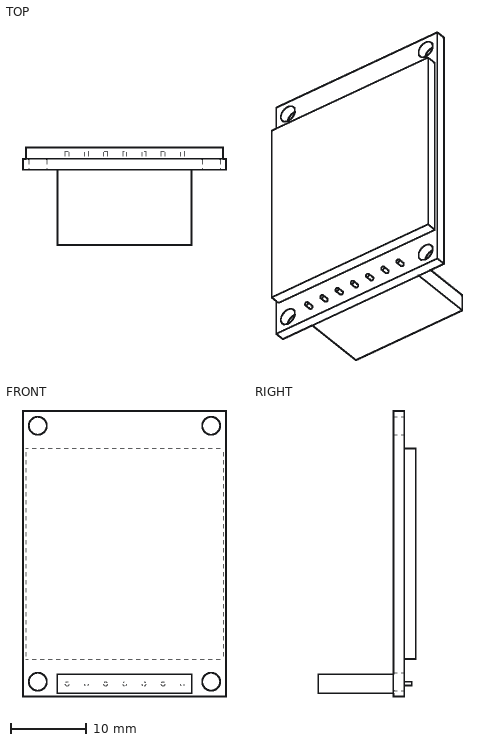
import cadquery as cq

board_width = 27.0
board_height = 38.0
board_thickness = 1.5

hole_diameter = 2.35
hole_inset = 1.98

screen_width = 26.22
screen_height = 28.0
screen_thickness = 1.52

header_width = 17.85
header_height = 2.55
header_depth = 10.0
header_center_height = 1.7
pin_count = 7
pin_diameter = 0.55
pin_length = 1.0
pin_pitch = header_width / pin_count

header_z = header_center_height - board_height / 2


def make_board():
    """Plate with its front face at Y = 0 and four through holes."""
    hole_span_x = board_width - 2 * hole_inset
    hole_span_z = board_height - 2 * hole_inset
    plate = cq.Workplane("XZ").rect(board_width, board_height).extrude(-board_thickness)
    holes = (
        cq.Workplane("XZ")
        .rect(hole_span_x, hole_span_z, forConstruction=True)
        .vertices()
        .circle(hole_diameter / 2)
        .extrude(-board_thickness)
    )
    return plate.cut(holes)


def make_screen():
    """Panel on the back face, between the upper and lower holes."""
    return (
        cq.Workplane("XZ", origin=(0, board_thickness, 0))
        .rect(screen_width, screen_height)
        .extrude(-screen_thickness)
    )


def make_header():
    """Block projecting forward from the board."""
    return cq.Workplane("XZ", origin=(0, 0, header_z)).rect(header_width, header_height).extrude(header_depth)


def make_pins():
    """Row of round pin ends projecting from the back of the board."""
    return (
        cq.Workplane("XZ", origin=(0, board_thickness, header_z))
        .rarray(pin_pitch, 0.38, pin_count, 1)
        .circle(pin_diameter / 2)
        .extrude(-pin_length)
    )


result = make_board().union(make_screen()).union(make_header()).union(make_pins())